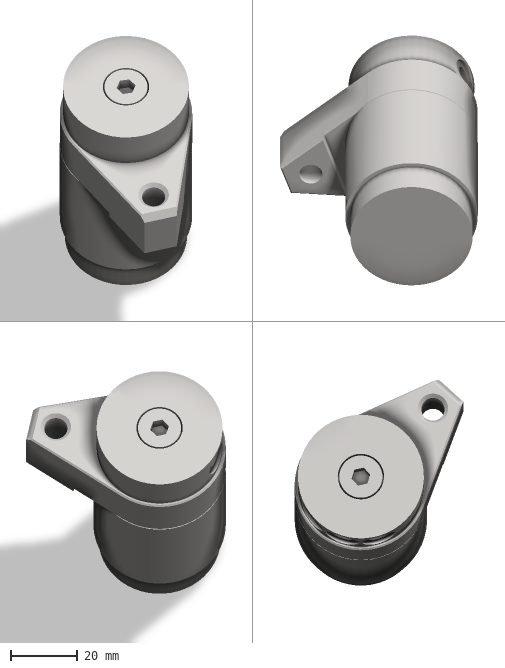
import cadquery as cq
import math

TOTAL_HEIGHT = 76.0
CAP_HEIGHT = 13.0
PLATE_THICKNESS = 15.95
SPIGOT_HEIGHT = 10.0
PLATE_TOP = TOTAL_HEIGHT - CAP_HEIGHT
PLATE_BOTTOM = PLATE_TOP - PLATE_THICKNESS

BODY_RADIUS = 20.0
SPIGOT_RADIUS = 18.5

BRACKET_REACH = 40.05
TAPER_ANGLE = math.radians(22.5)
EDGE_CHAMFER = 0.5
TIP_CHAMFER = 2.0
FOOT_LENGTH = 16.0
FOOT_DROP = 2.0
BRACKET_HOLE_X = 32.0
BRACKET_HOLE_DIAMETER = 7.0
BRACKET_SINK_DIAMETER = 9.2
SINK_ANGLE = 90.0

CAP_RADIUS = 19.0
CAP_TURN = 25.0
PORT_SPACING = 35.0
PORT_DIRECTIONS = [180.0 + CAP_TURN + step * PORT_SPACING for step in (-1, 0, 1)]
PORT_DIAMETER = 6.0
PORT_DEPTH = 8.1
SPOT_FACE_DIAMETER = 10.4
SPOT_FACE_DISTANCE = 18.0

SCREW_DIAMETER = 13.0
COUNTERBORE_DIAMETER = 14.0
SCREW_HEIGHT = 8.0
HEX_SIDES = 6
HEX_FLATS = 5.0
HEX_DEPTH = 4.0


def make_body():
    spigot = cq.Workplane("XY").circle(SPIGOT_RADIUS).extrude(SPIGOT_HEIGHT)
    barrel = (
        cq.Workplane("XY", origin=(0, 0, SPIGOT_HEIGHT))
        .circle(BODY_RADIUS)
        .extrude(PLATE_BOTTOM - SPIGOT_HEIGHT)
    )
    return spigot.union(barrel)


def flank_half_width(x):
    """Half width between the straight flanks, which are tangent to the body circle."""
    return BODY_RADIUS / math.cos(TAPER_ANGLE) - x * math.tan(TAPER_ANGLE)


def make_plate():
    tangent_x = BODY_RADIUS * math.sin(TAPER_ANGLE)
    tangent_y = BODY_RADIUS * math.cos(TAPER_ANGLE)
    tip_half_width = flank_half_width(BRACKET_REACH)
    return (
        cq.Workplane("XY", origin=(0, 0, PLATE_BOTTOM))
        .moveTo(BRACKET_REACH, -tip_half_width)
        .lineTo(BRACKET_REACH, tip_half_width)
        .lineTo(tangent_x, tangent_y)
        .threePointArc((-BODY_RADIUS, 0), (tangent_x, -tangent_y))
        .close()
        .extrude(PLATE_THICKNESS)
        .faces("<Z or >Z")
        .chamfer(EDGE_CHAMFER)
    )


def make_foot():
    """Block under the tip, reaching up to the middle of the plate."""
    heel_x = BRACKET_REACH - FOOT_LENGTH
    heel_half_width = flank_half_width(heel_x)
    tip_half_width = flank_half_width(BRACKET_REACH)
    return (
        cq.Workplane("XY", origin=(0, 0, PLATE_BOTTOM - FOOT_DROP))
        .moveTo(heel_x, -heel_half_width)
        .lineTo(BRACKET_REACH, -tip_half_width)
        .lineTo(BRACKET_REACH, tip_half_width)
        .lineTo(heel_x, heel_half_width)
        .close()
        .extrude(FOOT_DROP + PLATE_THICKNESS / 2)
        .faces("<Z")
        .chamfer(EDGE_CHAMFER)
    )


def make_tip_cut():
    """Wedge removed along the top edge of the tip."""
    return (
        cq.Workplane("XZ")
        .moveTo(BRACKET_REACH, PLATE_TOP)
        .lineTo(BRACKET_REACH - TIP_CHAMFER, PLATE_TOP)
        .lineTo(BRACKET_REACH, PLATE_TOP - TIP_CHAMFER)
        .close()
        .extrude(BODY_RADIUS, both=True)
    )


def make_bracket():
    bracket = make_plate().union(make_foot()).cut(make_tip_cut())
    return (
        bracket.faces(">Z")
        .workplane(origin=(BRACKET_HOLE_X, 0, PLATE_TOP))
        .cskHole(BRACKET_HOLE_DIAMETER, BRACKET_SINK_DIAMETER, SINK_ANGLE)
    )


def make_port_cut(direction):
    """Blind radial port with a flat spot face, at the given angle about the main axis."""
    angle = math.radians(direction)
    outward = cq.Vector(math.cos(angle), math.sin(angle), 0)
    face_center = outward * SPOT_FACE_DISTANCE + cq.Vector(0, 0, PLATE_TOP + CAP_HEIGHT / 2)
    spot_face = cq.Plane(origin=face_center, xDir=(0, 0, 1), normal=outward)
    relief = cq.Workplane(spot_face).circle(SPOT_FACE_DIAMETER / 2).extrude(CAP_RADIUS - SPOT_FACE_DISTANCE)
    port = cq.Workplane(spot_face).circle(PORT_DIAMETER / 2).extrude(-PORT_DEPTH)
    return relief.union(port)


def make_cap():
    cap = (
        cq.Workplane("XY", origin=(0, 0, PLATE_TOP))
        .circle(CAP_RADIUS)
        .extrude(CAP_HEIGHT)
        .faces(">Z")
        .workplane()
        .hole(COUNTERBORE_DIAMETER, SCREW_HEIGHT)
    )
    for direction in PORT_DIRECTIONS:
        cap = cap.cut(make_port_cut(direction))
    return cap


def make_screw():
    """Screw head with a hex socket, seated on the counterbore floor and flush with the cap."""
    hex_corner_diameter = HEX_FLATS / math.cos(math.pi / HEX_SIDES)
    head = (
        cq.Workplane("XY", origin=(0, 0, TOTAL_HEIGHT - SCREW_HEIGHT))
        .circle(SCREW_DIAMETER / 2)
        .extrude(SCREW_HEIGHT)
    )
    socket = (
        cq.Workplane("XY", origin=(0, 0, TOTAL_HEIGHT))
        .transformed(rotate=(0, 0, CAP_TURN))
        .polygon(HEX_SIDES, hex_corner_diameter)
        .extrude(-HEX_DEPTH)
    )
    return head.cut(socket)


body = make_body()
bracket = make_bracket()
cap = make_cap()
screw = make_screw()

result = cq.Compound.makeCompound([body.val(), bracket.val(), cap.val(), screw.val()])